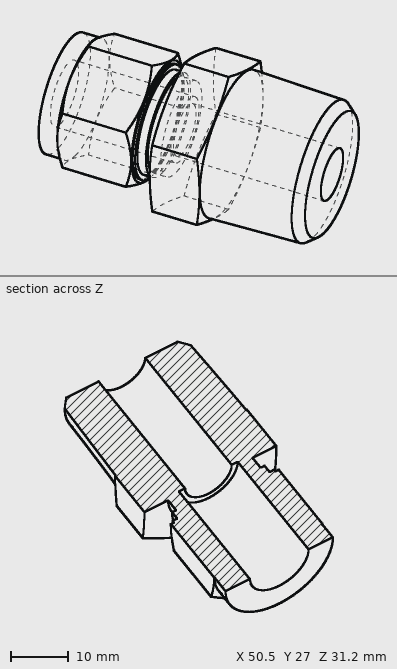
import cadquery as cq
import math


total_length = 50.5
collar_end = 3.55
nut_end = 17.5
washer_face_end = 18.0
ring_end = 19.6
neck_end = 22.05
body_hex_end = 31.5
lead_in_end = 32.1
tip_chamfer_length = 1.85
tip_chamfer_start = total_length - tip_chamfer_length

collar_diameter = 22.0
washer_face_diameter = 20.85
ring_diameter = 19.0
neck_diameter = 17.35
lead_in_diameter = 26.75
pipe_small_diameter = 25.85
tip_diameter = 22.9

nut_across_flats = 22.1
nut_chamfer_angle = 30.0
body_across_flats = 27.0
body_chamfer_circle = 26.8
body_chamfer_angle = 13.0

bore_diameter = 9.5
tube_socket_diameter = 11.95
tube_socket_depth = 22.7


def cylinder(diameter, start, end):
    """Round section along X between two stations."""
    return cq.Workplane("YZ", origin=(start, 0, 0)).circle(diameter / 2).extrude(end - start)


def revolve_about_x(points):
    """Solid of revolution from (x, radius) points."""
    return cq.Workplane("XY").polyline(points).close().revolve(360, (0, 0, 0), (1, 0, 0))


def chamfered_hex(across_flats, start, end, face_circle, chamfer_angle):
    """Hexagonal prism along X whose corners are cut by a cone at both ends."""
    across_corners = across_flats / math.cos(math.radians(30))
    prism = (
        cq.Workplane("YZ", origin=(start, 0, 0))
        .transformed(rotate=(0, 0, 90))
        .polygon(6, across_corners)
        .extrude(end - start)
    )
    face_radius = face_circle / 2
    outer_radius = across_corners
    cone_depth = (outer_radius - face_radius) * math.tan(math.radians(chamfer_angle))
    envelope = revolve_about_x([
        (start, 0),
        (start, face_radius),
        (start + cone_depth, outer_radius),
        (end - cone_depth, outer_radius),
        (end, face_radius),
        (end, 0),
    ])
    return prism.intersect(envelope)


collar = cylinder(collar_diameter, 0, collar_end)
nut = chamfered_hex(nut_across_flats, collar_end, nut_end, collar_diameter, nut_chamfer_angle)

washer_face = cylinder(washer_face_diameter, nut_end, washer_face_end)
ring = cylinder(ring_diameter, washer_face_end, ring_end)
neck = cylinder(neck_diameter, ring_end, neck_end)

body_hex = chamfered_hex(
    body_across_flats, neck_end, body_hex_end, body_chamfer_circle, body_chamfer_angle
)

pipe_end = revolve_about_x([
    (body_hex_end, 0),
    (body_hex_end, lead_in_diameter / 2),
    (lead_in_end, lead_in_diameter / 2),
    (tip_chamfer_start, pipe_small_diameter / 2),
    (total_length, tip_diameter / 2),
    (total_length, 0),
])

bore = cylinder(bore_diameter, 0, total_length)
tube_socket = cylinder(tube_socket_diameter, 0, tube_socket_depth)

result = collar
for section in (nut, washer_face, ring, neck, body_hex, pipe_end):
    result = result.union(section)
result = result.cut(bore).cut(tube_socket)